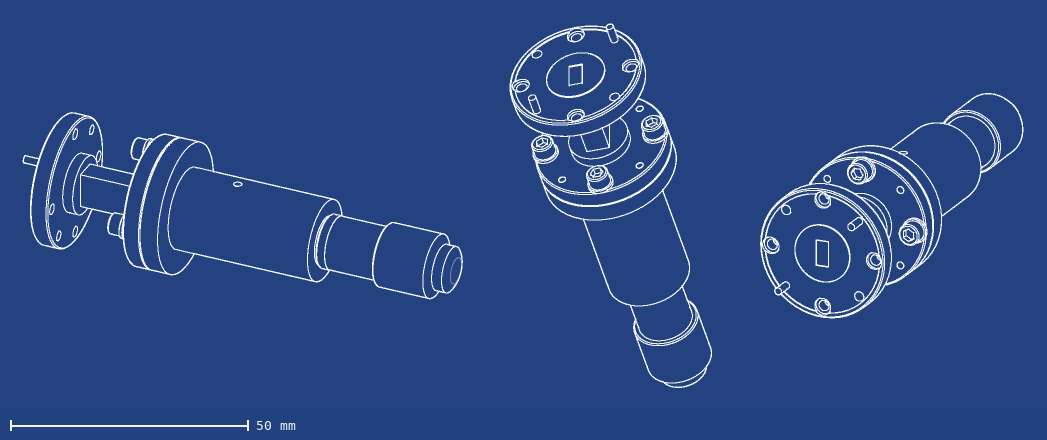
import cadquery as cq
import math


LENGTH = 95.6
FRONT_FLANGE_X = 3.8
FLANGE_THICKNESS = 4.0
TUBE_SPAN = 17.3
FRONT_FLANGE_END_X = FRONT_FLANGE_X + FLANGE_THICKNESS
REAR_FLANGE_X = FRONT_FLANGE_END_X + TUBE_SPAN
JOINT_X = REAR_FLANGE_X + FLANGE_THICKNESS
HOUSING_END_X = 65.4

FLANGE_RADIUS = 28.6 / 2
FLANGE_CHAMFER = 0.3
HUB_RADIUS = 6.4
HUB_LENGTH = 2.3
BOLT_CIRCLE_RADIUS = 23.8 / 2
BOLT_ANGLES = (0, 90, 180, 270)
PIN_ANGLES = (135, 315)
PIN_HOLE_ANGLES = (45, 225)
BOLT_HOLE_RADIUS = 1.1
COUNTERBORE_RADIUS = 1.8
COUNTERBORE_DEPTH = 1.0
PIN_RADIUS = 0.79
PIN_HOLE_RADIUS = 1.05

RELIEF_DEPTH = 0.3
RELIEF_INNER_RADIUS = 6.3
RELIEF_OUTER_RADIUS = 13.2
DIMPLE_RADIUS = 0.8
DIMPLE_DEPTH = 0.1

TUBE_WIDTH = 4.9
TUBE_HEIGHT = 7.7
OPENING_WIDTH = 2.9
OPENING_HEIGHT = 5.6
OPENING_DEPTH = 0.3

HOUSING_FLANGE_THICKNESS = 4.1
BARREL_RADIUS = 8.9
SIDE_HOLE_X = 45.3
SIDE_HOLE_RADIUS = 0.9
SIDE_HOLE_DEPTH = 1.0
SIDE_HOLE_CORE_RADIUS = 0.5
SIDE_HOLE_CORE_DEPTH = 1.9

HEAD_RADIUS = 2.3
HEAD_LENGTH = 2.9
HEAD_CHAMFER = 0.3
WASHER_RADIUS = 2.7
WASHER_THICKNESS = 0.7
SOCKET_WIDTH = 2.4
SOCKET_DEPTH = 1.4
THREAD_ENGAGEMENT = 2.9

NECK_RADIUS = 5.35
NECK_LENGTH = 0.5
COLLAR_RADIUS = 11.8 / 2
COLLAR_CHAMFER = 0.3
COLLAR_END_X = 67.95
SLEEVE_RADIUS = 5.8
THIMBLE_X = 79.3
THIMBLE_RADIUS = 7.0
THIMBLE_CHAMFER = 0.3
THIMBLE_END_X = 91.1
SHOULDER_LENGTH = 1.1
KNOB_RADIUS = 10.0 / 2
CROWN_LENGTH = 1.05
END_FACE_RADIUS = 2.9
CROWN_BULGE = 0.2


def disc(start_x, length, radius):
    """Cylinder on the X axis."""
    return cq.Workplane("YZ", origin=(start_x, 0, 0)).circle(radius).extrude(length)


def cylinders_on_bolt_circle(angles, start_x, length, radius):
    """Cylinders parallel to X, at the given angles on the bolt circle."""
    centres = [
        (
            BOLT_CIRCLE_RADIUS * math.cos(math.radians(angle)),
            BOLT_CIRCLE_RADIUS * math.sin(math.radians(angle)),
        )
        for angle in angles
    ]
    plane = cq.Workplane("YZ", origin=(start_x, 0, 0))
    return plane.pushPoints(centres).circle(radius).extrude(length)


def flange_blank(start_x):
    """Flange disc with both rims chamfered."""
    return disc(start_x, FLANGE_THICKNESS, FLANGE_RADIUS).edges().chamfer(FLANGE_CHAMFER)


def make_front_flange():
    """Mating flange with bolt holes, pins, pin holes and a relieved face."""
    flange = flange_blank(FRONT_FLANGE_X)

    relief = disc(FRONT_FLANGE_X, RELIEF_DEPTH, RELIEF_OUTER_RADIUS)
    relief = relief.cut(disc(FRONT_FLANGE_X, RELIEF_DEPTH, RELIEF_INNER_RADIUS))
    flange = flange.cut(relief)

    for angles, depth, radius in (
        (BOLT_ANGLES, FLANGE_THICKNESS, BOLT_HOLE_RADIUS),
        (BOLT_ANGLES, COUNTERBORE_DEPTH, COUNTERBORE_RADIUS),
        (PIN_HOLE_ANGLES, FLANGE_THICKNESS, PIN_HOLE_RADIUS),
    ):
        flange = flange.cut(cylinders_on_bolt_circle(angles, FRONT_FLANGE_X, depth, radius))

    return flange.union(cylinders_on_bolt_circle(PIN_ANGLES, 0, FRONT_FLANGE_END_X, PIN_RADIUS))


def make_rear_flange():
    """Flange bolted to the housing, with shank holes and four small dimples."""
    flange = flange_blank(REAR_FLANGE_X)
    flange = flange.cut(
        cylinders_on_bolt_circle(BOLT_ANGLES, REAR_FLANGE_X, FLANGE_THICKNESS, BOLT_HOLE_RADIUS)
    )
    dimple_angles = PIN_ANGLES + PIN_HOLE_ANGLES
    return flange.cut(
        cylinders_on_bolt_circle(dimple_angles, REAR_FLANGE_X, DIMPLE_DEPTH, DIMPLE_RADIUS)
    )


def make_waveguide():
    """Rectangular tube with a hub and a flange at each end."""
    tube = (
        cq.Workplane("YZ", origin=(FRONT_FLANGE_END_X, 0, 0))
        .rect(TUBE_WIDTH, TUBE_HEIGHT)
        .extrude(TUBE_SPAN)
    )
    opening = (
        cq.Workplane("YZ", origin=(FRONT_FLANGE_X, 0, 0))
        .rect(OPENING_WIDTH, OPENING_HEIGHT)
        .extrude(OPENING_DEPTH)
    )
    return (
        make_front_flange()
        .union(disc(FRONT_FLANGE_END_X, HUB_LENGTH, HUB_RADIUS))
        .union(tube)
        .union(disc(REAR_FLANGE_X - HUB_LENGTH, HUB_LENGTH, HUB_RADIUS))
        .union(make_rear_flange())
        .cut(opening)
    )


def make_housing():
    """Flanged barrel with tapped holes for the screws and a small stepped hole in its top."""
    housing = disc(JOINT_X, HOUSING_FLANGE_THICKNESS, FLANGE_RADIUS)
    housing = housing.union(disc(JOINT_X, HOUSING_END_X - JOINT_X, BARREL_RADIUS))
    housing = housing.cut(
        cylinders_on_bolt_circle(BOLT_ANGLES, JOINT_X, THREAD_ENGAGEMENT, BOLT_HOLE_RADIUS)
    )
    barrel_top = cq.Workplane("XY", origin=(SIDE_HOLE_X, 0, BARREL_RADIUS))
    side_hole = barrel_top.circle(SIDE_HOLE_RADIUS).extrude(-SIDE_HOLE_DEPTH)
    side_hole_core = barrel_top.circle(SIDE_HOLE_CORE_RADIUS).extrude(-SIDE_HOLE_CORE_DEPTH)
    return housing.cut(side_hole).cut(side_hole_core)


def make_screw(angle):
    """Socket head cap screw with its washer, seated on the rear flange."""
    washer_x = REAR_FLANGE_X - WASHER_THICKNESS
    head_x = washer_x - HEAD_LENGTH
    shank_length = FLANGE_THICKNESS + THREAD_ENGAGEMENT
    head = disc(head_x, HEAD_LENGTH, HEAD_RADIUS).faces("<X").edges().chamfer(HEAD_CHAMFER)
    socket = (
        cq.Workplane("YZ", origin=(head_x, 0, 0))
        .polygon(6, SOCKET_WIDTH, circumscribed=True)
        .extrude(SOCKET_DEPTH)
    )
    screw = (
        head.cut(socket)
        .union(disc(washer_x, WASHER_THICKNESS, WASHER_RADIUS))
        .union(disc(REAR_FLANGE_X, shank_length, BOLT_HOLE_RADIUS))
    )
    return screw.translate((0, BOLT_CIRCLE_RADIUS, 0)).rotate((0, 0, 0), (1, 0, 0), angle)


def make_micrometer():
    """Turned micrometer head: neck, collar, sleeve, thimble and crowned knob."""
    neck_end_x = HOUSING_END_X + NECK_LENGTH
    profile = (
        cq.Workplane("XY")
        .moveTo(HOUSING_END_X, 0)
        .lineTo(HOUSING_END_X, NECK_RADIUS)
        .lineTo(neck_end_x, NECK_RADIUS)
        .lineTo(neck_end_x, COLLAR_RADIUS - COLLAR_CHAMFER)
        .lineTo(neck_end_x + COLLAR_CHAMFER, COLLAR_RADIUS)
        .lineTo(COLLAR_END_X, COLLAR_RADIUS)
        .lineTo(COLLAR_END_X, SLEEVE_RADIUS)
        .lineTo(THIMBLE_X, SLEEVE_RADIUS)
        .lineTo(THIMBLE_X, THIMBLE_RADIUS - THIMBLE_CHAMFER)
        .lineTo(THIMBLE_X + THIMBLE_CHAMFER, THIMBLE_RADIUS)
        .lineTo(THIMBLE_END_X, THIMBLE_RADIUS)
        .lineTo(THIMBLE_END_X + SHOULDER_LENGTH, KNOB_RADIUS)
        .lineTo(LENGTH - CROWN_LENGTH, KNOB_RADIUS)
        .sagittaArc((LENGTH, END_FACE_RADIUS), CROWN_BULGE)
        .lineTo(LENGTH, 0)
        .close()
    )
    return profile.revolve(360, (0, 0, 0), (1, 0, 0))


waveguide = make_waveguide()
housing = make_housing()
micrometer = make_micrometer()
screws = [make_screw(angle) for angle in BOLT_ANGLES]

result = cq.Compound.makeCompound(
    [waveguide.val(), housing.val(), micrometer.val(), *[screw.val() for screw in screws]]
)